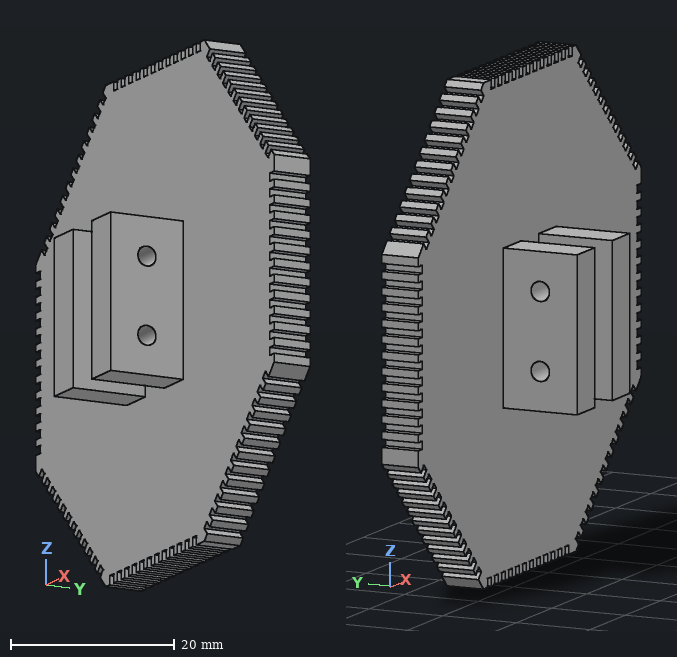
import cadquery as cq
import math

ACROSS_FLATS = 63.34
PLATE_THICKNESS = 5.0
SIDE_COUNT = 8
SIDE_ANGLE = 360.0 / SIDE_COUNT
CORNER_DIAMETER = ACROSS_FLATS / math.cos(math.pi / SIDE_COUNT)

NOTCH_COUNT = 12
NOTCH_WIDTH = 1.0
NOTCH_PITCH = 2.0 * NOTCH_WIDTH
NOTCH_DEPTH = 1.17
NOTCH_ROW_SHIFT = NOTCH_WIDTH / 2.0

LUG_WIDTH = 5.0
LUG_REACH = 10.0
LUG_HEIGHT = 20.0
LUG_SPACING = 10.0

HOLE_DIAMETER = 2.5
HOLE_SPACING = 10.0


def make_plate():
    """Octagon with flats on top, bottom and both sides; its -Y face lies at Y = 0."""
    return (
        cq.Workplane("XZ")
        .transformed(rotate=(0, 0, SIDE_ANGLE / 2.0))
        .polygon(SIDE_COUNT, CORNER_DIAMETER)
        .extrude(-PLATE_THICKNESS)
    )


def make_top_notches():
    """Cutters for the notches along the top side."""
    first_center = NOTCH_ROW_SHIFT - NOTCH_PITCH * (NOTCH_COUNT - 1) / 2.0
    centers = [
        (first_center + index * NOTCH_PITCH, ACROSS_FLATS / 2.0)
        for index in range(NOTCH_COUNT)
    ]
    return (
        cq.Workplane("XZ")
        .pushPoints(centers)
        .rect(NOTCH_WIDTH, 2.0 * NOTCH_DEPTH)
        .extrude(-PLATE_THICKNESS)
    )


def cut_notches(plate):
    """Repeat the row of notches around all sides of the plate."""
    top_notches = make_top_notches()
    for side in range(SIDE_COUNT):
        plate = plate.cut(top_notches.rotate((0, 0, 0), (0, 1, 0), side * SIDE_ANGLE))
    return plate


def make_lugs():
    """Two parallel lugs with a pair of pin holes running through both along X."""
    lugs = (
        cq.Workplane("XZ")
        .pushPoints([(-LUG_SPACING / 2.0, 0), (LUG_SPACING / 2.0, 0)])
        .rect(LUG_WIDTH, LUG_HEIGHT)
        .extrude(LUG_REACH)
    )
    hole_y = -LUG_REACH / 2.0
    pins = (
        cq.Workplane("YZ")
        .pushPoints([(hole_y, -HOLE_SPACING / 2.0), (hole_y, HOLE_SPACING / 2.0)])
        .circle(HOLE_DIAMETER / 2.0)
        .extrude((LUG_SPACING + LUG_WIDTH) / 2.0, both=True)
    )
    return lugs.cut(pins)


result = cut_notches(make_plate()).union(make_lugs())